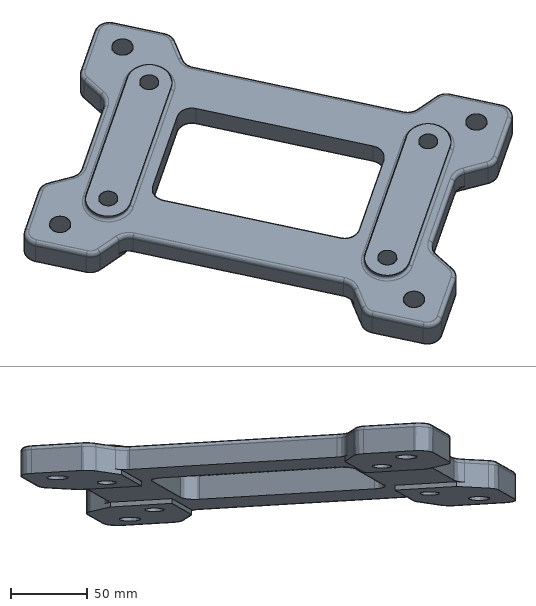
import cadquery as cq

LENGTH = 284.0
WIDTH = 195.0

FOOT_DROP = 3.2
PLATE_THICKNESS = 15.8
RAIL_HEIGHT = 3.4
PLATE_TOP = FOOT_DROP + PLATE_THICKNESS

EAR_SIZE = 65.0
EAR_EDGE = 50.0
WAIST_INSET = 22.5
OUTLINE_RADIUS = 10.0
TOP_FILLET = 3.0

WINDOW_LENGTH = 140.6
WINDOW_WIDTH = 80.6
WINDOW_RADIUS = 10.0

RAIL_SPACING = 190.0
RAIL_WIDTH = 30.0
RAIL_BASE_FILLET = 2.0

RAIL_HOLE_SPACING = 102.0
RAIL_HOLE_DIAMETER = 12.4
EAR_HOLE_SPACING_X = 241.0
EAR_HOLE_SPACING_Y = 155.6
EAR_HOLE_DIAMETER = 13.8

SIGNS = (-1, 1)


def plate_outline():
    """Corner points of the ears and waists, counter-clockwise from the +X waist."""
    half_x = LENGTH / 2
    half_y = WIDTH / 2
    quadrant = [
        (half_x - WAIST_INSET, half_y - EAR_SIZE),
        (half_x, half_y - EAR_EDGE),
        (half_x, half_y),
        (half_x - EAR_EDGE, half_y),
        (half_x - EAR_SIZE, half_y - WAIST_INSET),
    ]
    upper = quadrant + [(-x, y) for x, y in reversed(quadrant)]
    return upper + [(-x, -y) for x, y in upper]


def make_plate():
    """Plate with rounded outline corners and a rounded top rim."""
    return (
        cq.Workplane("XY", origin=(0, 0, FOOT_DROP))
        .polyline(plate_outline())
        .close()
        .extrude(PLATE_THICKNESS)
        .edges("|Z")
        .fillet(OUTLINE_RADIUS)
        .faces(">Z")
        .edges()
        .fillet(TOP_FILLET)
    )


def make_foot(sign_x, sign_y):
    """Pad under one ear; its outer corners are rounded, its inner ones stay sharp."""
    half_x = LENGTH / 2
    half_y = WIDTH / 2
    outer_corners = [(half_x, half_y - EAR_EDGE), (half_x, half_y), (half_x - EAR_EDGE, half_y)]
    inner_corners = [
        (half_x - EAR_SIZE, half_y - WAIST_INSET),
        (half_x - EAR_SIZE, half_y - EAR_SIZE),
        (half_x - WAIST_INSET, half_y - EAR_SIZE),
    ]
    points = [(sign_x * x, sign_y * y) for x, y in outer_corners + inner_corners]
    foot = cq.Workplane("XY").polyline(points).close().extrude(FOOT_DROP)
    for x, y in points[:len(outer_corners)]:
        corner = cq.selectors.NearestToPointSelector((x, y, FOOT_DROP / 2))
        foot = foot.edges("|Z").edges(corner).fillet(OUTLINE_RADIUS)
    return foot


def add_rails(body):
    """Round-ended rails standing on the plate, blended into it at the base."""
    rails = (
        cq.Workplane("XY", origin=(0, 0, PLATE_TOP))
        .pushPoints([(sign * RAIL_SPACING / 2, 0) for sign in SIGNS])
        .slot2D(RAIL_HOLE_SPACING + RAIL_WIDTH, RAIL_WIDTH, 90)
        .extrude(RAIL_HEIGHT)
    )
    body = body.union(rails)
    margin = RAIL_WIDTH / 2 + RAIL_BASE_FILLET / 2
    for sign in SIGNS:
        centre_x = sign * RAIL_SPACING / 2
        reach_y = RAIL_HOLE_SPACING / 2 + margin
        base_box = cq.selectors.BoxSelector(
            (centre_x - margin, -reach_y, PLATE_TOP - RAIL_BASE_FILLET / 2),
            (centre_x + margin, reach_y, PLATE_TOP + RAIL_BASE_FILLET / 2),
        )
        body = body.edges(base_box).fillet(RAIL_BASE_FILLET)
    return body


def cut_window(body):
    """Rectangular window with rounded corners, straight through the plate."""
    window = (
        cq.Workplane("XY")
        .rect(WINDOW_LENGTH, WINDOW_WIDTH)
        .extrude(PLATE_TOP)
        .edges("|Z")
        .fillet(WINDOW_RADIUS)
    )
    return body.cut(window)


def cut_hole_set(body, spacing_x, spacing_y, diameter):
    """Four vertical through holes on a centred rectangle."""
    holes = (
        cq.Workplane("XY")
        .rect(spacing_x, spacing_y, forConstruction=True)
        .vertices()
        .circle(diameter / 2)
        .extrude(PLATE_TOP + RAIL_HEIGHT)
    )
    return body.cut(holes)


body = make_plate()
for side_x in SIGNS:
    for side_y in SIGNS:
        body = body.union(make_foot(side_x, side_y))
body = add_rails(body)
body = cut_window(body)
body = cut_hole_set(body, RAIL_SPACING, RAIL_HOLE_SPACING, RAIL_HOLE_DIAMETER)
result = cut_hole_set(body, EAR_HOLE_SPACING_X, EAR_HOLE_SPACING_Y, EAR_HOLE_DIAMETER)